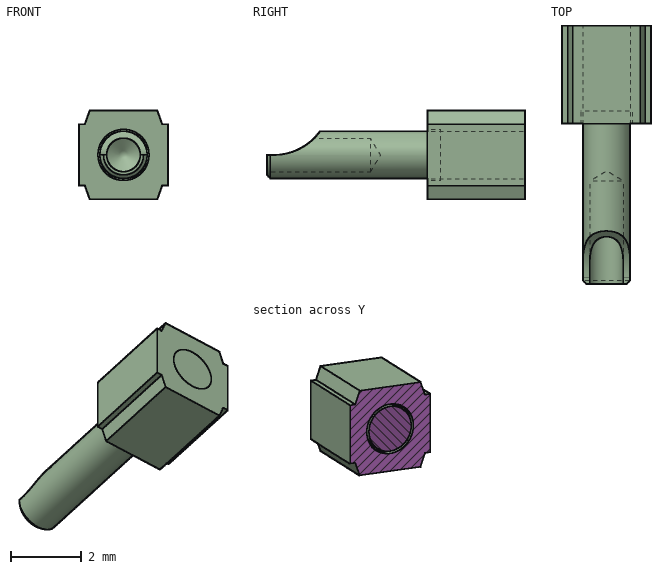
import cadquery as cq
import math

total_length = 7.37
housing_width = 2.54
housing_length = 2.79
side_half_height = 0.88
notch_half_width = 1.105
top_half_width = 0.965
mouth_radius = 0.73
mouth_depth = 0.37

pin_radius = 1.35 / 2
tip_chamfer = 0.1
bore_radius = 0.48
bore_depth = 2.95
drill_point_angle = 118.0
cup_flat_length = 0.2
cup_arc_radius = 1.62

housing_front = total_length - housing_length


def make_housing():
    """Notched block with a counterbored through hole for the pin."""
    half = housing_width / 2
    corner = [
        (half, side_half_height),
        (notch_half_width, side_half_height),
        (top_half_width, half),
    ]
    mirrored = [(-x, z) for x, z in reversed(corner)]
    upper = corner + mirrored
    lower = [(-x, -z) for x, z in upper]
    block = (
        cq.Workplane("XZ", origin=(0, total_length, 0))
        .polyline(upper + lower)
        .close()
        .extrude(housing_length)
    )
    hole = (
        cq.Workplane("XY")
        .moveTo(0, housing_front)
        .lineTo(mouth_radius, housing_front)
        .lineTo(mouth_radius, housing_front + mouth_depth)
        .lineTo(pin_radius, housing_front + mouth_depth)
        .lineTo(pin_radius, total_length)
        .lineTo(0, total_length)
        .close()
        .revolve(360, (0, 0, 0), (0, 1, 0))
    )
    return block.cut(hole)


def make_cup_bore():
    """Blind bore from the tip, ending in a drill-point cone."""
    point_depth = bore_radius / math.tan(math.radians(drill_point_angle / 2))
    return (
        cq.Workplane("XY")
        .lineTo(bore_radius, 0)
        .lineTo(bore_radius, bore_depth)
        .lineTo(0, bore_depth + point_depth)
        .close()
        .revolve(360, (0, 0, 0), (0, 1, 0))
    )


def make_cup_cutaway():
    """Material above the cup: flat at mid height, then a tangent arc to the top."""
    def arc_point(height):
        run = math.sqrt(cup_arc_radius**2 - (cup_arc_radius - height) ** 2)
        return (cup_flat_length + run, height)

    top_point = arc_point(pin_radius)
    middle_point = arc_point(pin_radius / 4)
    return (
        cq.Workplane("YZ")
        .lineTo(cup_flat_length, 0)
        .threePointArc(middle_point, top_point)
        .lineTo(0, pin_radius)
        .close()
        .extrude(pin_radius, both=True)
    )


def make_pin():
    """Round pin with a chamfered tip and an open solder cup."""
    rod = (
        cq.Workplane("XZ", origin=(0, total_length, 0))
        .circle(pin_radius)
        .extrude(total_length)
        .faces("<Y")
        .chamfer(tip_chamfer)
    )
    return rod.cut(make_cup_bore()).cut(make_cup_cutaway())


housing = make_housing()
pin = make_pin()
result = cq.Compound.makeCompound([housing.val(), pin.val()])